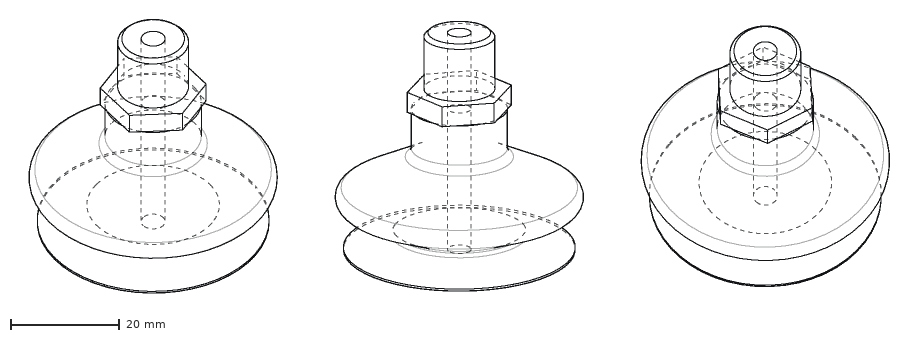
import cadquery as cq
import math

RIM_RADIUS = 23.0
LIP_RADIUS = 21.5
LIP_THICKNESS = 0.4
WAIST_RADIUS = 12.3
WAIST_LOWER_RADIUS = 12.8
WAIST_LOWER_Z = 3.25
WAIST_Z = 3.95
WAIST_UPPER_RADIUS = 12.6
WAIST_UPPER_Z = 4.45
RIM_EDGE_RADIUS = 21.9
RIM_LOWER_Z = 8.55
RIM_UPPER_Z = 12.25
SHOULDER_RADIUS = 10.03
SHOULDER_Z = 18.4
NECK_RADIUS = 8.9
NECK_START_Z = 20.15
NECK_TOP_Z = 27.9

HEX_ACROSS_FLATS = 17.0
HEX_HEIGHT = 3.95
STUD_RADIUS = 6.58
STUD_LENGTH = 11.15
STUD_CHAMFER = 0.8

BORE_RADIUS = 2.2


def make_bellows():
    """Cup with a flat lip, a rounded waist, a bulged rim and a filleted neck."""
    rim_mid_z = (RIM_LOWER_Z + RIM_UPPER_Z) / 2
    profile = (
        cq.Workplane("XZ")
        .moveTo(BORE_RADIUS, 0)
        .lineTo(LIP_RADIUS, 0)
        .lineTo(LIP_RADIUS, LIP_THICKNESS)
        .lineTo(WAIST_LOWER_RADIUS, WAIST_LOWER_Z)
        .tangentArcPoint((WAIST_RADIUS, WAIST_Z), relative=False)
        .tangentArcPoint((WAIST_UPPER_RADIUS, WAIST_UPPER_Z), relative=False)
        .lineTo(RIM_EDGE_RADIUS, RIM_LOWER_Z)
        .threePointArc((RIM_RADIUS, rim_mid_z), (RIM_EDGE_RADIUS, RIM_UPPER_Z))
        .lineTo(SHOULDER_RADIUS, SHOULDER_Z)
        .tangentArcPoint((NECK_RADIUS, NECK_START_Z), relative=False)
        .lineTo(NECK_RADIUS, NECK_TOP_Z)
        .lineTo(BORE_RADIUS, NECK_TOP_Z)
        .close()
    )
    return profile.revolve(360, (0, 0, 0), (0, 1, 0))


def make_fitting():
    """Hexagon with two corners on the X axis, carrying a chamfered stud, bored through."""
    stud_base_z = NECK_TOP_Z + HEX_HEIGHT
    hex_across_corners = HEX_ACROSS_FLATS / math.cos(math.pi / 6)
    hexagon = (
        cq.Workplane("XY", origin=(0, 0, NECK_TOP_Z))
        .polygon(6, hex_across_corners)
        .extrude(HEX_HEIGHT)
    )
    stud = (
        cq.Workplane("XY", origin=(0, 0, stud_base_z))
        .circle(STUD_RADIUS)
        .extrude(STUD_LENGTH)
        .faces(">Z")
        .chamfer(STUD_CHAMFER)
    )
    bore = (
        cq.Workplane("XY", origin=(0, 0, NECK_TOP_Z))
        .circle(BORE_RADIUS)
        .extrude(HEX_HEIGHT + STUD_LENGTH)
    )
    return hexagon.union(stud).cut(bore)


bellows = make_bellows()
fitting = make_fitting()
result = cq.Compound.makeCompound([bellows.val(), fitting.val()])